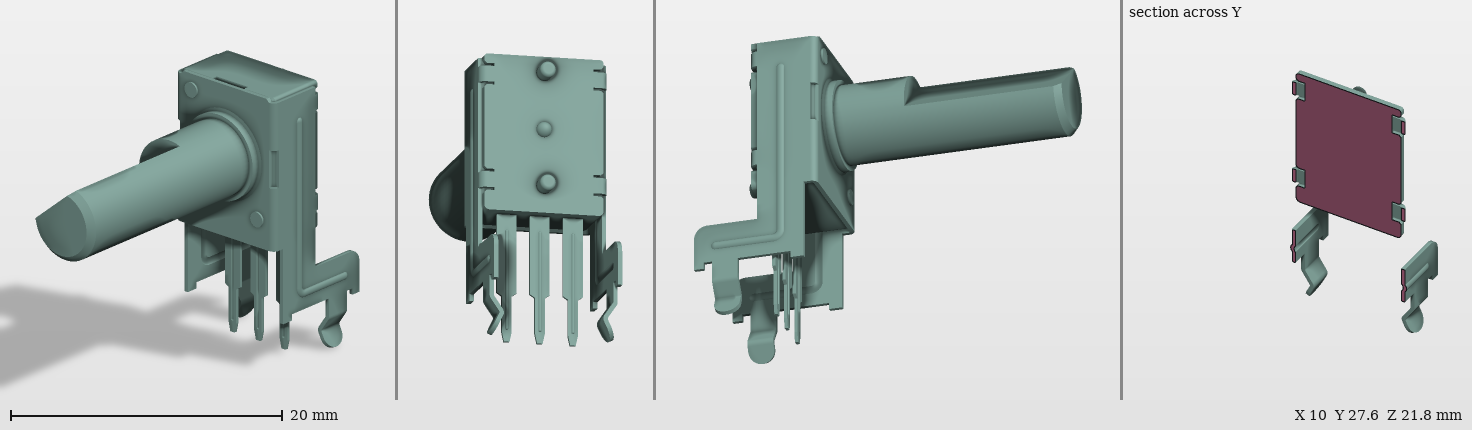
import cadquery as cq
import math


SHAFT_DIAMETER = 6.0
SHAFT_TIP_Y = -18.15
SHAFT_CHAMFER = 0.5
FLAT_LENGTH = 12.0
FLAT_DISTANCE = 1.5
FLAT_ANGLE = 130.0

SHEET = 0.33
FRAME_HALF_WIDTH = 4.85
BEND_RADIUS = 0.5
INNER_BEND_RADIUS = BEND_RADIUS - SHEET
PLATE_HALF_WIDTH = FRAME_HALF_WIDTH - BEND_RADIUS
PLATE_TOP = 5.52
PLATE_BOTTOM = -6.5
WALL_TOP = 5.27
WALL_REAR = 4.58
PLATE_CORNER = 0.28
WINDOW_HALF_LENGTH = 1.5
COLLAR_DIAMETER = 6.8
COLLAR_LENGTH = 0.75
COLLAR_FLARE = 0.22
COLLAR_FLARE_LENGTH = 0.15
LEG_FRONT = 1.0
LEG_REAR = 9.45
ARM_TOP = -9.03
ARM_CORNER_RADIUS = 1.0
ARM_BOTTOM = -12.0
FOOT_BOTTOM = -12.5
FRONT_FOOT_WIDTH = 1.0
REAR_FOOT_WIDTH = 0.75

CLIP_FRONT = 6.07
CLIP_REAR = 8.05
CLIP_BEND_Z = -13.52
CLIP_KNEE_IN = 0.83
CLIP_KNEE_Z = -14.75
CLIP_TIP_IN = 0.08
CLIP_TIP_Z = -16.28
CLIP_TIP_RADIUS = 0.97

BEAD_HEIGHT = 0.15
BEAD_WIDTH = 0.6
BEAD_Y = 2.8
BEAD_Z = -10.75
BEAD_TOP = 3.37
BEAD_REAR = 8.11
BEAD_BEND_RADIUS = 0.58

TAB_Z = 4.0
TAB_WIDTH = 1.2
TAB_REACH = 1.1

HOUSING_HALF_WIDTH = FRAME_HALF_WIDTH - SHEET
HOUSING_REAR = 5.15
HOUSING_TOP = PLATE_TOP
HOUSING_BOTTOM = -6.3
HOUSING_TOP_RADIUS = 0.28
HOUSING_BOTTOM_RADIUS = 0.4
HOUSING_FRONT_CHAMFER = INNER_BEND_RADIUS
TOP_RECESS_HALF_WIDTH = 1.55
TOP_RECESS_LENGTH = 0.5
TOP_RECESS_DEPTH = 0.41
TAB_RECESS_WIDTH = 1.6
TAB_RECESS_CHAMFER = 0.2
PEG_DIAMETER = 1.2
PEG_Z = 4.28
PEG_LENGTH = 1.4
PEG_TIP_RADIUS = 0.25
RIVET_X = 3.23
RIVET_HEIGHT = 0.17
DOME_RADIUS = 0.58

TERMINAL_PITCH = 2.5
TERMINAL_FRONT = 3.67
TERMINAL_THICKNESS = 0.25
TERMINAL_WIDTH = 1.5
TERMINAL_NECK_WIDTH = 0.75
TERMINAL_TIP_WIDTH = 0.41
TERMINAL_SHOULDER_Z = -12.23
TERMINAL_NECK_Z = -12.48
TERMINAL_TAPER_Z = -15.18
TERMINAL_TIP_Z = -15.93
RIB_RADIUS = 0.125
RIB_RISE = 0.097
RIB_TOP = -7.42
RIB_BOTTOM = -15.05


def block(x_min, x_max, y_min, y_max, z_min, z_max):
    """Box between the given limits."""
    size = (x_max - x_min, y_max - y_min, z_max - z_min)
    return cq.Workplane("XY").box(*size, centered=False).translate((x_min, y_min, z_min))


def rod(diameter, y_start, y_end, x=0, z=0):
    """Cylinder along Y from y_start back to y_end."""
    plane = cq.Workplane("XZ", origin=(x, y_end, z))
    return plane.circle(diameter / 2).extrude(y_end - y_start)


def both_sides(left):
    """The left-hand shape together with its mirror image."""
    return left.union(left.mirror("YZ"))


def make_shaft():
    """Round shaft with a chamfered tip and a slanted flat, seated on the front of the housing."""
    shaft = rod(SHAFT_DIAMETER, SHAFT_TIP_Y, SHEET).faces("<Y").chamfer(SHAFT_CHAMFER)
    flat_cut = block(
        FLAT_DISTANCE, SHAFT_DIAMETER,
        SHAFT_TIP_Y, SHAFT_TIP_Y + FLAT_LENGTH,
        -SHAFT_DIAMETER, SHAFT_DIAMETER,
    ).rotate((0, 0, 0), (0, 1, 0), -FLAT_ANGLE)
    return shaft.cut(flat_cut)


def make_front_plate():
    """Front plate with a flared collar around the shaft and two holes for the housing's rivets."""
    plate = block(-PLATE_HALF_WIDTH, PLATE_HALF_WIDTH, 0, SHEET, PLATE_BOTTOM, PLATE_TOP)
    plate = plate.edges("|Y and >Z").chamfer(PLATE_CORNER)
    radius = COLLAR_DIAMETER / 2
    collar = (
        cq.Workplane("XY")
        .moveTo(0, SHEET)
        .lineTo(radius + COLLAR_FLARE, SHEET)
        .lineTo(radius + COLLAR_FLARE, 0)
        .lineTo(radius, -COLLAR_FLARE_LENGTH)
        .lineTo(radius, -COLLAR_LENGTH)
        .lineTo(0, -COLLAR_LENGTH)
        .close()
        .revolve(360, (0, 0), (0, 1))
    )
    plate = plate.union(collar).cut(rod(SHAFT_DIAMETER, -COLLAR_LENGTH, SHEET))
    for side in (-1, 1):
        plate = plate.cut(rod(PEG_DIAMETER, 0, SHEET, side * RIVET_X, -side * PEG_Z))
    return plate


def sheet_bend(y_center, z_min, z_max):
    """Full ring around a vertical bend axis on the left side; the caller trims it to a quarter."""
    ring = cq.Workplane("XY", origin=(-PLATE_HALF_WIDTH, y_center, z_min))
    return ring.circle(BEND_RADIUS).circle(INNER_BEND_RADIUS).extrude(z_max - z_min)


def make_front_bend():
    """Left front bend, interrupted by a window at shaft height."""
    corner = block(-FRAME_HALF_WIDTH, -PLATE_HALF_WIDTH, 0, BEND_RADIUS, PLATE_BOTTOM, WALL_TOP)
    window = block(
        -FRAME_HALF_WIDTH, -PLATE_HALF_WIDTH, 0, BEND_RADIUS, -WINDOW_HALF_LENGTH, WINDOW_HALF_LENGTH
    )
    return sheet_bend(BEND_RADIUS, PLATE_BOTTOM, WALL_TOP).intersect(corner).cut(window)


def make_bead_tool():
    """Round bar along the L-shaped bead, set so that BEAD_HEIGHT stands out of the wall."""
    half = BEAD_WIDTH / 2
    radius = (half**2 + BEAD_HEIGHT**2) / (2 * BEAD_HEIGHT)
    axis_x = -FRAME_HALF_WIDTH - BEAD_HEIGHT + radius
    top = BEAD_TOP - half
    rear = BEAD_REAR - half
    turn = BEAD_BEND_RADIUS
    turn_middle = turn * (1 - math.sqrt(0.5))
    path = (
        cq.Workplane("YZ", origin=(axis_x, 0, 0))
        .moveTo(BEAD_Y, top)
        .lineTo(BEAD_Y, BEAD_Z + turn)
        .threePointArc((BEAD_Y + turn_middle, BEAD_Z + turn_middle), (BEAD_Y + turn, BEAD_Z))
        .lineTo(rear, BEAD_Z)
    )
    bar = cq.Workplane("XY", origin=(axis_x, BEAD_Y, top)).circle(radius).sweep(path)
    for y, z in ((BEAD_Y, top), (rear, BEAD_Z)):
        bar = bar.union(cq.Workplane("XY").sphere(radius).translate((axis_x, y, z)))
    return bar


def make_side_wall():
    """Left wall and leg, with the bead raised outside and hollowed inside."""
    wall = (
        cq.Workplane("YZ", origin=(-FRAME_HALF_WIDTH, 0, 0))
        .moveTo(BEND_RADIUS, WALL_TOP)
        .lineTo(WALL_REAR, WALL_TOP)
        .lineTo(WALL_REAR, ARM_TOP)
        .lineTo(LEG_REAR - ARM_CORNER_RADIUS, ARM_TOP)
        .radiusArc((LEG_REAR, ARM_TOP - ARM_CORNER_RADIUS), ARM_CORNER_RADIUS)
        .lineTo(LEG_REAR, FOOT_BOTTOM)
        .lineTo(LEG_REAR - REAR_FOOT_WIDTH, FOOT_BOTTOM)
        .lineTo(LEG_REAR - REAR_FOOT_WIDTH, ARM_BOTTOM)
        .lineTo(LEG_FRONT + FRONT_FOOT_WIDTH, ARM_BOTTOM)
        .lineTo(LEG_FRONT + FRONT_FOOT_WIDTH, FOOT_BOTTOM)
        .lineTo(LEG_FRONT, FOOT_BOTTOM)
        .lineTo(LEG_FRONT, PLATE_BOTTOM)
        .lineTo(BEND_RADIUS, PLATE_BOTTOM)
        .close()
        .extrude(SHEET)
    )
    bead_tool = make_bead_tool()
    bead_zone = block(
        -FRAME_HALF_WIDTH - BEAD_HEIGHT, -FRAME_HALF_WIDTH + SHEET / 2, 0, LEG_REAR, FOOT_BOTTOM, PLATE_TOP
    )
    bead = bead_tool.intersect(bead_zone)
    return wall.union(bead).cut(bead_tool.translate((SHEET, 0, 0)))


def make_clip():
    """Left snap clip: a strip bent inwards and out again, with a rounded tip."""
    wall_x = -FRAME_HALF_WIDTH + SHEET
    knee_x = wall_x + CLIP_KNEE_IN
    tip_x = wall_x + CLIP_TIP_IN
    bend_angle = math.atan2(CLIP_KNEE_IN, CLIP_BEND_Z - CLIP_KNEE_Z)
    tip_angle = math.atan2(knee_x - tip_x, CLIP_KNEE_Z - CLIP_TIP_Z)
    bend_drop = SHEET * math.tan(bend_angle / 2)
    mitre = SHEET / math.cos((bend_angle + tip_angle) / 2)
    mitre_angle = (bend_angle - tip_angle) / 2
    outer_bend = (-FRAME_HALF_WIDTH, CLIP_BEND_Z - bend_drop)
    outer_knee = (knee_x - mitre * math.cos(mitre_angle), CLIP_KNEE_Z - mitre * math.sin(mitre_angle))
    outer_tip = (tip_x - SHEET * math.cos(tip_angle), CLIP_TIP_Z + SHEET * math.sin(tip_angle))
    strip = (
        cq.Workplane("XZ", origin=(0, CLIP_REAR, 0))
        .polyline([
            (wall_x, ARM_BOTTOM), (wall_x, CLIP_BEND_Z), (knee_x, CLIP_KNEE_Z), (tip_x, CLIP_TIP_Z),
            outer_tip, outer_knee, outer_bend, (-FRAME_HALF_WIDTH, ARM_BOTTOM),
        ])
        .close()
        .extrude(CLIP_REAR - CLIP_FRONT)
    )

    def edge_at(x, z):
        return strip.edges("|Y").edges(cq.NearestToPointSelector((x, (CLIP_FRONT + CLIP_REAR) / 2, z)))

    for x, z, radius in (
        (wall_x, CLIP_BEND_Z, INNER_BEND_RADIUS),
        (*outer_bend, BEND_RADIUS),
        (knee_x, CLIP_KNEE_Z, BEND_RADIUS),
        (*outer_knee, INNER_BEND_RADIUS),
    ):
        strip = edge_at(x, z).fillet(radius)

    tip_middle = ((tip_x + outer_tip[0]) / 2, (CLIP_TIP_Z + outer_tip[1]) / 2)
    for y in (CLIP_FRONT, CLIP_REAR):
        corner = cq.NearestToPointSelector((tip_middle[0], y, tip_middle[1]))
        strip = strip.edges(corner).fillet(CLIP_TIP_RADIUS)
    return strip


def make_tab(z):
    """Left rear tab: runs back from the wall, bends and lies flush in the housing's rear face."""
    z_min = z - TAB_WIDTH / 2
    z_max = z + TAB_WIDTH / 2
    bend_y = HOUSING_REAR - BEND_RADIUS
    corner = block(-FRAME_HALF_WIDTH, -PLATE_HALF_WIDTH, bend_y, HOUSING_REAR, z_min, z_max)
    bend = sheet_bend(bend_y, z_min, z_max).intersect(corner)
    root = block(-FRAME_HALF_WIDTH, -FRAME_HALF_WIDTH + SHEET, WALL_REAR, bend_y, z_min, z_max)
    leaf = block(
        -PLATE_HALF_WIDTH, -FRAME_HALF_WIDTH + TAB_REACH, HOUSING_REAR - SHEET, HOUSING_REAR, z_min, z_max
    )
    return root.union(bend).union(leaf)


def make_frame():
    """Front plate joined to the two mirrored side walls, each with its clip and rear tabs."""
    left = make_side_wall().union(make_front_bend()).union(make_clip())
    for z in (-TAB_Z, TAB_Z):
        left = left.union(make_tab(z))
    return make_front_plate().union(both_sides(left))


def make_tab_recess(z):
    """Left recess in the rear edge of the housing, with flared ends, that holds a folded tab."""
    half = TAB_RECESS_WIDTH / 2
    recess = block(
        -HOUSING_HALF_WIDTH, -FRAME_HALF_WIDTH + TAB_REACH,
        HOUSING_REAR - BEND_RADIUS, HOUSING_REAR,
        z - half, z + half,
    )
    flare = (
        cq.Workplane("XZ", origin=(0, HOUSING_REAR, 0))
        .polyline([
            (-HOUSING_HALF_WIDTH, z - half - TAB_RECESS_CHAMFER),
            (-HOUSING_HALF_WIDTH + TAB_RECESS_CHAMFER, z - half),
            (-HOUSING_HALF_WIDTH + TAB_RECESS_CHAMFER, z + half),
            (-HOUSING_HALF_WIDTH, z + half + TAB_RECESS_CHAMFER),
        ])
        .close()
        .extrude(BEND_RADIUS)
    )
    return recess.union(flare)


def make_housing():
    """Block with two rear pegs, a rear centre dome and two front rivets through the frame."""
    housing = block(
        -HOUSING_HALF_WIDTH, HOUSING_HALF_WIDTH, SHEET, HOUSING_REAR, HOUSING_BOTTOM, HOUSING_TOP
    )
    housing = housing.edges("|Y and >Z").fillet(HOUSING_TOP_RADIUS)
    housing = housing.edges("|Y and <Z").fillet(HOUSING_BOTTOM_RADIUS)
    housing = housing.faces("<Y").edges("not <Z").chamfer(HOUSING_FRONT_CHAMFER)
    housing = housing.cut(block(
        -TOP_RECESS_HALF_WIDTH, TOP_RECESS_HALF_WIDTH,
        SHEET, SHEET + TOP_RECESS_LENGTH,
        HOUSING_TOP - TOP_RECESS_DEPTH, HOUSING_TOP,
    ))
    for z in (-TAB_Z, TAB_Z):
        housing = housing.cut(both_sides(make_tab_recess(z)))
    for side in (-1, 1):
        peg = rod(PEG_DIAMETER, HOUSING_REAR, HOUSING_REAR + PEG_LENGTH, 0, side * PEG_Z)
        rivet = rod(PEG_DIAMETER, -RIVET_HEIGHT, SHEET, side * RIVET_X, -side * PEG_Z)
        housing = housing.union(peg.faces(">Y").edges().fillet(PEG_TIP_RADIUS)).union(rivet)
    dome = cq.Workplane("XY").sphere(DOME_RADIUS).translate((0, HOUSING_REAR, 0))
    return housing.union(dome)


def make_terminal(x):
    """Flat pin below the housing with a rib pressed backwards out of its front face."""
    half = TERMINAL_WIDTH / 2
    neck = TERMINAL_NECK_WIDTH / 2
    tip = TERMINAL_TIP_WIDTH / 2
    rear = TERMINAL_FRONT + TERMINAL_THICKNESS
    right_edge = [
        (half, HOUSING_BOTTOM), (half, TERMINAL_SHOULDER_Z), (neck, TERMINAL_NECK_Z),
        (neck, TERMINAL_TAPER_Z), (tip, TERMINAL_TIP_Z),
    ]
    left_edge = [(-edge_x, z) for edge_x, z in reversed(right_edge)]
    blade = (
        cq.Workplane("XZ", origin=(0, rear, 0))
        .polyline(right_edge + left_edge)
        .close()
        .extrude(TERMINAL_THICKNESS)
    )
    rib_y = rear + RIB_RISE - RIB_RADIUS
    rib_low = RIB_BOTTOM + RIB_RADIUS
    rib_high = RIB_TOP - RIB_RADIUS
    bar = cq.Workplane("XY", origin=(0, rib_y, rib_low)).circle(RIB_RADIUS).extrude(rib_high - rib_low)
    for z in (rib_low, rib_high):
        bar = bar.union(cq.Workplane("XY").sphere(RIB_RADIUS).translate((0, rib_y, z)))
    groove = bar.translate((0, -TERMINAL_THICKNESS, 0))
    return blade.union(bar).cut(groove).translate((x, 0, 0))


shaft = make_shaft()
frame = make_frame()
housing = make_housing()
terminals = [make_terminal(step * TERMINAL_PITCH) for step in (-1, 0, 1)]

result = cq.Compound.makeCompound(
    [body.solids().val() for body in (shaft, frame, housing, *terminals)]
)